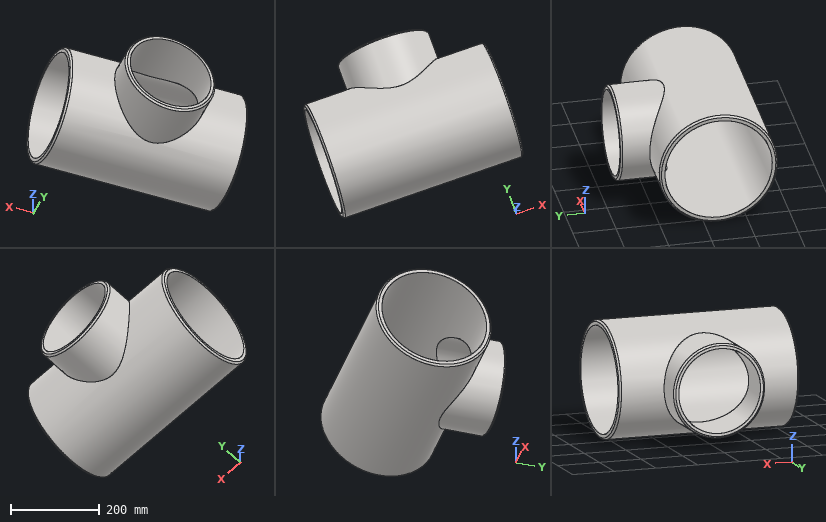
import cadquery as cq

run_length = 432.0
run_diameter = 273.0
run_wall = 12.5

branch_diameter = 219.0
branch_wall = 11.2
branch_reach = 340.0 - run_diameter / 2

bevel_length = 4.5
bevel_depth = 4.5


def beveled_bar(diameter, length, both_ends):
    """Solid bar along +Z from the origin, with its outer end edges beveled."""
    radius = diameter / 2
    tip_radius = radius - bevel_depth
    profile = cq.Workplane("XZ").moveTo(0, 0)
    if both_ends:
        profile = profile.lineTo(tip_radius, 0).lineTo(radius, bevel_length)
    else:
        profile = profile.lineTo(radius, 0)
    profile = profile.lineTo(radius, length - bevel_length).lineTo(tip_radius, length).lineTo(0, length)
    return profile.close().revolve(360, (0, 0), (0, 1))


def bore(diameter, wall, length):
    """Cutter along +Z that leaves the given wall inside a bar."""
    return cq.Workplane("XY").circle(diameter / 2 - wall).extrude(length)


def lay_on_run(body):
    """Turn a +Z body along X and centre it on the run."""
    return body.rotate((0, 0, 0), (0, 1, 0), 90).translate((-run_length / 2, 0, 0))


def lay_on_branch(body):
    """Turn a +Z body to point along +Y."""
    return body.rotate((0, 0, 0), (1, 0, 0), -90)


run_bar = lay_on_run(beveled_bar(run_diameter, run_length, both_ends=True))
branch_bar = lay_on_branch(beveled_bar(branch_diameter, branch_reach, both_ends=False))
run_bore = lay_on_run(bore(run_diameter, run_wall, run_length))
branch_bore = lay_on_branch(bore(branch_diameter, branch_wall, branch_reach))

result = run_bar.union(branch_bar).cut(run_bore).cut(branch_bore)